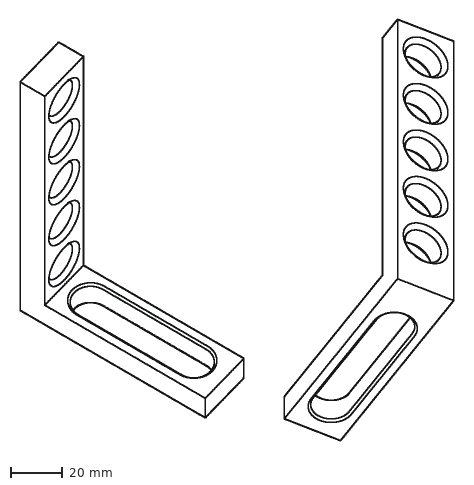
import cadquery as cq

length = 90.0
width = 25.0
height = 140.0
thickness = 12.0

hole_count = 5
hole_pitch = 25.0
first_hole_height = 25.0
hole_diameter = 16.0
hole_chamfer = 2.0

slot_start = 17.0
slot_end = 83.0
slot_width = 16.0
slot_chamfer = 1.0


def make_bracket():
    """L-shaped body, with its outer corner on the X and Z axes and centred on Y."""
    upright = cq.Workplane("XY").box(thickness, width, height, centered=(False, True, False))
    foot = cq.Workplane("XY").box(length, width, thickness, centered=(False, True, False))
    return upright.union(foot)


def make_hole(center_height):
    """Through hole along X, chamfered at both faces of the upright."""
    radius = hole_diameter / 2
    mouth_radius = radius + hole_chamfer
    profile = [
        (0, 0),
        (0, mouth_radius),
        (hole_chamfer, radius),
        (thickness - hole_chamfer, radius),
        (thickness, mouth_radius),
        (thickness, 0),
    ]
    cutter = cq.Workplane("XZ").polyline(profile).close().revolve(360, (0, 0, 0), (1, 0, 0))
    return cutter.translate((0, 0, center_height))


def make_slot():
    """Through slot along Z, with 45 degree chamfers at both faces of the foot."""
    center_x = (slot_start + slot_end) / 2
    mouth_length = slot_end - slot_start + 2 * slot_chamfer
    mouth_width = slot_width + 2 * slot_chamfer
    through = cq.Workplane("XY").slot2D(slot_end - slot_start, slot_width).extrude(thickness)
    lower_mouth = cq.Workplane("XY").slot2D(mouth_length, mouth_width).extrude(slot_chamfer, taper=45)
    upper_mouth = lower_mouth.mirror("XY").translate((0, 0, thickness))
    return through.union(lower_mouth).union(upper_mouth).translate((center_x, 0, 0))


bracket = make_bracket()
for index in range(hole_count):
    bracket = bracket.cut(make_hole(first_hole_height + index * hole_pitch))
result = bracket.cut(make_slot())